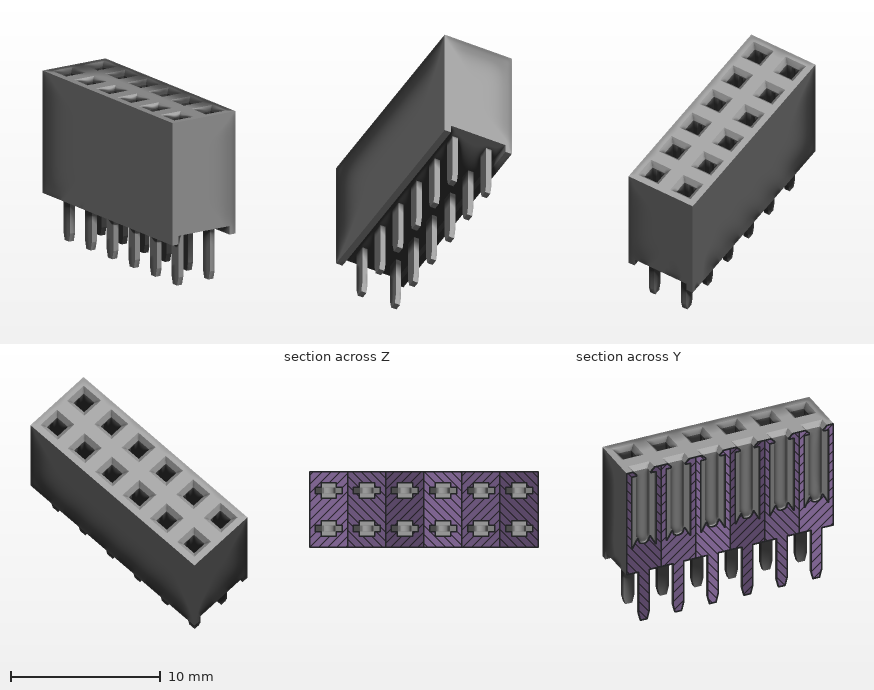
import cadquery as cq
import math

cell_count = 6
total_length = 15.24
pitch = total_length / cell_count
housing_depth = 2 * pitch
housing_height = 8.5

rail_width = 0.47
rail_height = 0.6

row_offset = pitch / 2
mouth_size = 1.6
bevel_depth = 0.3
socket_size = mouth_size - 2 * bevel_depth
socket_depth = 6.0

strip_thickness = 0.4
slot_length = 1.77
slot_roof_depth = 0.41

tine_spacing = 0.9
tine_outer_slope = 61.0
tine_inner_slope = 70.0
saddle_width = 0.61
saddle_half_angle = 42.0

pin_width = 0.81
pin_tip_width = 0.5
pin_taper_height = 0.6
pin_length = 3.2

socket_floor_z = housing_height - socket_depth
bevel_bottom_z = housing_height - bevel_depth
slot_roof_z = housing_height - slot_roof_depth


def housing_block():
    """One cell of the housing, with the channel that runs along its underside."""
    block = cq.Workplane("XY").box(pitch, housing_depth, housing_height, centered=(True, True, False))
    channel_width = housing_depth - 2 * rail_width
    channel = cq.Workplane("XY").box(pitch, channel_width, rail_height, centered=(True, True, False))
    return block.cut(channel)


def socket(y):
    """Square hole with a bevelled mouth, as a solid to cut away."""
    hole = (
        cq.Workplane("XY", origin=(0, y, socket_floor_z))
        .rect(socket_size, socket_size)
        .extrude(socket_depth - bevel_depth)
    )
    mouth = (
        cq.Workplane("XY", origin=(0, y, bevel_bottom_z))
        .rect(socket_size, socket_size)
        .workplane(offset=bevel_depth)
        .rect(mouth_size, mouth_size)
        .loft(ruled=True)
    )
    return hole.union(mouth)


def strip_plane(y):
    """XZ workplane on the front face of a contact strip; extrude by minus its thickness to fill it."""
    return cq.Workplane("XZ", origin=(0, y - strip_thickness / 2, 0))


def contact_slot(y):
    """Space the contact strip sits in, as a solid to cut away before the fork is added."""
    return (
        strip_plane(y)
        .moveTo(0, (socket_floor_z + slot_roof_z) / 2)
        .rect(slot_length, slot_roof_z - socket_floor_z)
        .extrude(-strip_thickness)
    )


def contact_fork(y):
    """Forked contact standing on the socket floor."""
    slot_end_x = slot_length / 2
    tine_x = tine_spacing / 2
    saddle_x = saddle_width / 2
    tip_z = socket_floor_z + (slot_end_x - tine_x) * math.tan(math.radians(tine_outer_slope))
    saddle_edge_z = tip_z - (tine_x - saddle_x) * math.tan(math.radians(tine_inner_slope))
    saddle_bottom_z = saddle_edge_z - saddle_x * math.tan(math.radians(saddle_half_angle / 2))
    return (
        strip_plane(y)
        .moveTo(-slot_end_x, socket_floor_z)
        .lineTo(-tine_x, tip_z)
        .lineTo(-saddle_x, saddle_edge_z)
        .threePointArc((0, saddle_bottom_z), (saddle_x, saddle_edge_z))
        .lineTo(tine_x, tip_z)
        .lineTo(slot_end_x, socket_floor_z)
        .close()
        .extrude(-strip_thickness)
    )


def solder_pin(y):
    """Flat pin with a tapered tip, hanging from the roof of the underside channel."""
    taper_top_z = pin_taper_height - pin_length
    return (
        strip_plane(y)
        .moveTo(-pin_width / 2, rail_height)
        .lineTo(-pin_width / 2, taper_top_z)
        .lineTo(-pin_tip_width / 2, -pin_length)
        .lineTo(pin_tip_width / 2, -pin_length)
        .lineTo(pin_width / 2, taper_top_z)
        .lineTo(pin_width / 2, rail_height)
        .close()
        .extrude(-strip_thickness)
    )


def connector_cell():
    """One two-row connector cell with its contacts, as a single solid centred on X = 0."""
    cell = housing_block()
    for row_y in (-row_offset, row_offset):
        cell = cell.cut(socket(row_y))
        cell = cell.cut(contact_slot(row_y))
        cell = cell.union(contact_fork(row_y))
        cell = cell.union(solder_pin(row_y))
    return cell


cell = connector_cell()
cells = []
for index in range(cell_count):
    cell_x = (index - (cell_count - 1) / 2) * pitch
    cells.append(cell.translate((cell_x, 0, 0)).val())

result = cq.Compound.makeCompound(cells)